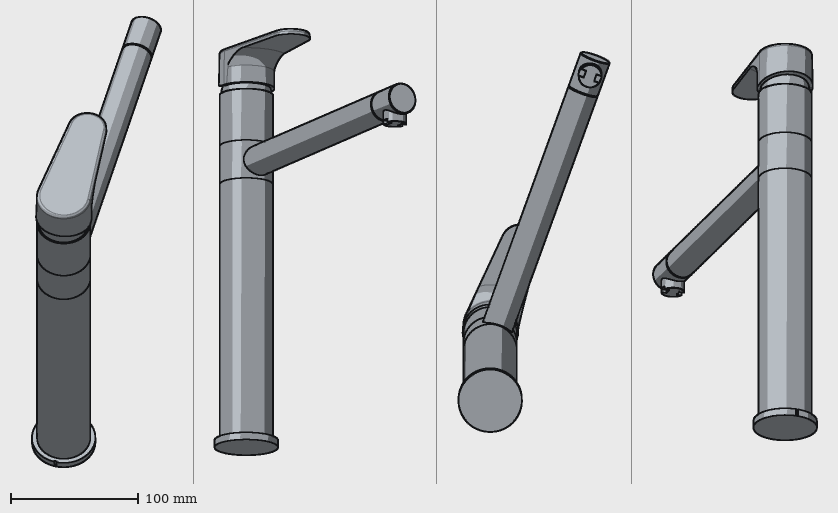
import cadquery as cq
import math

FLANGE_RADIUS = 25.0
FLANGE_HEIGHT = 5.8
SLOT_WIDTH = 2.0
SLOT_DEPTH = 1.0
SLOT_HEIGHT = 4.5

BODY_RADIUS = 42.0 / 2
COLUMN_TOP = 213.3
SWIVEL_TOP = 244.0
CAP_TOP = 285.7
DOME_RADIUS = 20.0

SPOUT_RADIUS = 12.2
SPOUT_END = 245.5
SPOUT_TIP_LENGTH = 28.0
SPOUT_AXIS_Z = 228.3
SPOUT_EDGE_CHAMFER = 0.5
GROOVE_WIDTH = 1.0
GROOVE_DEPTH = 0.3

OUTLET_RADIUS = 18.3 / 2
OUTLET_Y = 233.5
OUTLET_BOTTOM = 210.0
OUTLET_CHAMFER = 0.3
NOTCH_WIDTH = 5.8
NOTCH_HEIGHT = 2.5
NOTCH_DEPTH = 4.8

HANDLE_TOP = 320.7
HANDLE_BOTTOM = 291.0
HANDLE_BACK_BOTTOM = 296.3
HANDLE_TOP_RADIUS = 21.2
HANDLE_BOTTOM_RADIUS = 21.8
HANDLE_TIP_Y = 70.0
HANDLE_TIP_RADIUS = 15.0
HANDLE_ROUND = 2.2
LEVER_THICKNESS = 4.8
SKIRT_RADIUS = 22.0
SKIRT_FILLET = 11.2


def cylinder(radius, bottom, top):
    """Upright cylinder on the Z axis."""
    return cq.Workplane("XY").workplane(offset=bottom).circle(radius).extrude(top - bottom)


def make_flange():
    """Base ring with a small slot at the rear, open at the top."""
    flange = cylinder(FLANGE_RADIUS, 0, FLANGE_HEIGHT)
    slot = (
        cq.Workplane("XY")
        .box(SLOT_WIDTH, 2 * SLOT_DEPTH, SLOT_HEIGHT, centered=(True, True, False))
        .translate((0, -FLANGE_RADIUS, FLANGE_HEIGHT - SLOT_HEIGHT))
    )
    return flange.cut(slot)


def make_column():
    return cylinder(BODY_RADIUS, FLANGE_HEIGHT, COLUMN_TOP)


def spout_cylinder(radius, start, end):
    """Horizontal cylinder on the spout axis, between two Y positions."""
    axis_start = cq.Workplane("XZ", origin=(0, start, SPOUT_AXIS_Z))
    return axis_start.circle(radius).extrude(start - end)


def make_outlet():
    """Short downward nozzle with a wrench notch on each side."""
    outlet = (
        cq.Workplane("XY", origin=(0, OUTLET_Y, OUTLET_BOTTOM))
        .circle(OUTLET_RADIUS)
        .extrude(SPOUT_AXIS_Z - OUTLET_BOTTOM)
        .faces("<Z")
        .chamfer(OUTLET_CHAMFER)
    )
    for side in (-1, 1):
        notch = (
            cq.Workplane("XY")
            .box(2 * NOTCH_DEPTH, NOTCH_WIDTH, NOTCH_HEIGHT, centered=(True, True, False))
            .translate((side * OUTLET_RADIUS, OUTLET_Y, OUTLET_BOTTOM))
        )
        outlet = outlet.cut(notch)
    return outlet


def make_spout():
    """Swivel ring with the horizontal tube, its grooved tip and the outlet."""
    ring = cylinder(BODY_RADIUS, COLUMN_TOP, SWIVEL_TOP)
    tube = spout_cylinder(SPOUT_RADIUS, 0, SPOUT_END).faces(">Y").chamfer(SPOUT_EDGE_CHAMFER)
    groove_end = SPOUT_END - SPOUT_TIP_LENGTH
    groove_start = groove_end - GROOVE_WIDTH
    groove = spout_cylinder(2 * SPOUT_RADIUS, groove_start, groove_end).cut(
        spout_cylinder(SPOUT_RADIUS - GROOVE_DEPTH, groove_start, groove_end)
    )
    return ring.union(tube.cut(groove)).union(make_outlet())


def make_dome():
    """Ball centred on the top of the cap, whose upper half carries the handle."""
    return cq.Workplane("XY").sphere(DOME_RADIUS).translate((0, 0, CAP_TOP))


def make_cap():
    return cylinder(BODY_RADIUS, SWIVEL_TOP, CAP_TOP).union(make_dome())


def handle_outline():
    """Teardrop of two arcs joined by tangent lines, at the top of the handle."""
    tilt = math.asin((HANDLE_TOP_RADIUS - HANDLE_TIP_RADIUS) / HANDLE_TIP_Y)
    back_x = HANDLE_TOP_RADIUS * math.cos(tilt)
    back_y = HANDLE_TOP_RADIUS * math.sin(tilt)
    tip_x = HANDLE_TIP_RADIUS * math.cos(tilt)
    tip_y = HANDLE_TIP_Y + HANDLE_TIP_RADIUS * math.sin(tilt)
    return (
        cq.Workplane("XY", origin=(0, 0, HANDLE_TOP))
        .moveTo(back_x, back_y)
        .lineTo(tip_x, tip_y)
        .threePointArc((0, HANDLE_TIP_Y + HANDLE_TIP_RADIUS), (-tip_x, tip_y))
        .lineTo(-back_x, back_y)
        .threePointArc((0, -HANDLE_TOP_RADIUS), (back_x, back_y))
        .close()
    )


def make_handle():
    """Lever that flares into a skirt seated on the dome of the cap."""
    height = HANDLE_TOP - HANDLE_BOTTOM
    flare = math.degrees(math.atan((HANDLE_BOTTOM_RADIUS - HANDLE_TOP_RADIUS) / height))
    handle = handle_outline().extrude(-height, taper=-flare)
    handle = handle.faces(">Z").edges().fillet(HANDLE_ROUND)

    lever_bottom = HANDLE_TOP - LEVER_THICKNESS
    arc_shift = SKIRT_FILLET * (1 - math.sqrt(0.5))
    reach = HANDLE_TIP_Y + 2 * HANDLE_TIP_RADIUS
    envelope = (
        cq.Workplane("XZ")
        .moveTo(0, HANDLE_BOTTOM)
        .lineTo(SKIRT_RADIUS, HANDLE_BOTTOM)
        .lineTo(SKIRT_RADIUS, lever_bottom - SKIRT_FILLET)
        .threePointArc(
            (SKIRT_RADIUS + arc_shift, lever_bottom - arc_shift),
            (SKIRT_RADIUS + SKIRT_FILLET, lever_bottom),
        )
        .lineTo(reach, lever_bottom)
        .lineTo(reach, HANDLE_TOP)
        .lineTo(0, HANDLE_TOP)
        .close()
        .revolve(360, (0, 0, 0), (0, 1, 0))
    )

    wedge = (
        cq.Workplane("YZ")
        .moveTo(0, HANDLE_BOTTOM)
        .lineTo(-HANDLE_BOTTOM_RADIUS, HANDLE_BACK_BOTTOM)
        .lineTo(-2 * HANDLE_BOTTOM_RADIUS, HANDLE_BACK_BOTTOM)
        .lineTo(-2 * HANDLE_BOTTOM_RADIUS, HANDLE_BOTTOM)
        .close()
        .extrude(2 * HANDLE_BOTTOM_RADIUS, both=True)
    )
    return handle.intersect(envelope).cut(wedge).cut(make_dome())


flange = make_flange()
column = make_column()
spout = make_spout()
cap = make_cap()
handle = make_handle()

result = cq.Compound.makeCompound(
    [flange.val(), column.val(), spout.val(), cap.val(), handle.val()]
)